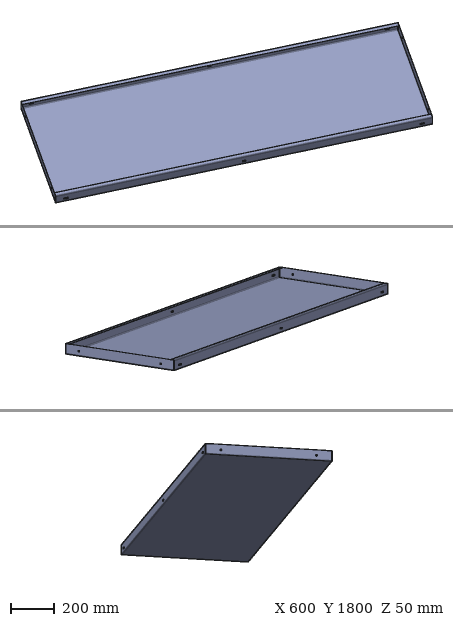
import cadquery as cq

length = 1800.0
width = 600.0
height = 50.0

sheet = 1.5
bend_radius = 4.0
inner_radius = bend_radius - sheet
lip_width = 22.0
side_wall_setback = 2.0

end_hole_z = 23.0
slot_z = 20.0
end_hole_diameter = 7.0
end_hole_spacing = 450.0
slot_height = 7.0
corner_slot_length = 22.0
corner_slot_inset = 50.0
middle_slot_length = 16.0

half_width = width / 2
half_length = length / 2


def box_between(x_range, y_range, z_range):
    """Box spanning the given coordinate ranges."""
    return (
        cq.Workplane("XY")
        .box(
            x_range[1] - x_range[0],
            y_range[1] - y_range[0],
            z_range[1] - z_range[0],
            centered=False,
        )
        .translate((x_range[0], y_range[0], z_range[0]))
    )


def channel_with_lips():
    """Floor with both long walls and their inward lips, folded in one section."""
    run = length - 2 * side_wall_setback
    y_range = (-run / 2, run / 2)
    outside = box_between((-half_width, half_width), y_range, (0, height))
    outside = outside.edges("|Y").fillet(bend_radius)
    inside = box_between(
        (-half_width + sheet, half_width - sheet), y_range, (sheet, height - sheet)
    )
    inside = inside.edges("|Y").fillet(inner_radius)
    opening_half = half_width - lip_width
    opening = box_between((-opening_half, opening_half), y_range, (sheet, height))
    return outside.cut(inside).cut(opening)


def floor_with_end_walls():
    """Floor with both end walls, set in from the long walls by the corner relief."""
    wall_half = half_width - bend_radius
    x_range = (-wall_half, wall_half)
    outside = box_between(x_range, (-half_length, half_length), (0, height))
    outside = outside.edges("|X and <Z").fillet(bend_radius)
    inside = box_between(
        x_range, (-half_length + sheet, half_length - sheet), (sheet, height)
    )
    inside = inside.edges("|X and <Z").fillet(inner_radius)
    return outside.cut(inside)


def end_wall_holes():
    """Round holes running through both end walls."""
    return (
        cq.Workplane("XZ", origin=(0, 0, end_hole_z))
        .rarray(end_hole_spacing, 18, 2, 1)
        .circle(end_hole_diameter / 2)
        .extrude(half_length, both=True)
    )


def side_wall_slot(y, slot_length):
    """Horizontal slot running through both long walls."""
    return (
        cq.Workplane("YZ", origin=(0, y, slot_z))
        .slot2D(slot_length, slot_height)
        .extrude(half_width, both=True)
    )


result = channel_with_lips().union(floor_with_end_walls())
result = result.cut(end_wall_holes())

corner_slot_y = half_length - corner_slot_inset
for y in (-corner_slot_y, corner_slot_y):
    result = result.cut(side_wall_slot(y, corner_slot_length))
result = result.cut(side_wall_slot(0, middle_slot_length))